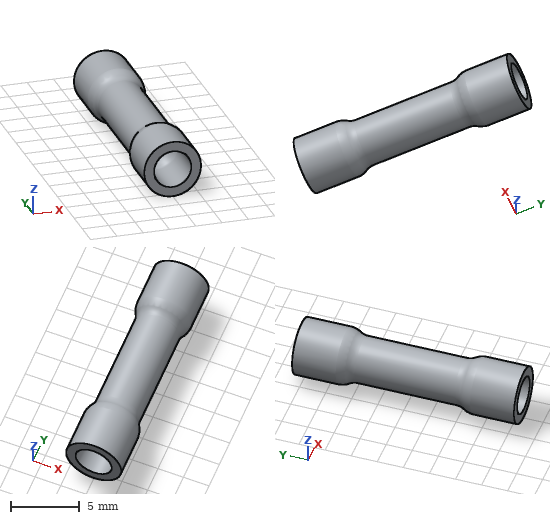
import cadquery as cq
import math

length = 17.02
end_radius = 2.16
waist_radius = 1.77
wall = 0.75

end_length = 3.35
neck_length = 1.35

half_length = length / 2
shoulder_y = half_length - end_length
waist_y = shoulder_y - neck_length
half_neck = neck_length / 2
half_step = (end_radius - waist_radius) / 2
neck_arc_radius = (half_neck**2 + half_step**2) / (2 * half_step)
neck_arc_angle = math.asin(half_neck / neck_arc_radius)


def shoulder_point(inset, angle):
    """Point on the convex neck arc, at an angle from its wide end."""
    arc_radius = neck_arc_radius - inset
    return (
        end_radius - neck_arc_radius + arc_radius * math.cos(angle),
        shoulder_y - arc_radius * math.sin(angle),
    )


def throat_point(inset, angle):
    """Point on the concave neck arc, at an angle from its narrow end."""
    arc_radius = neck_arc_radius + inset
    return (
        waist_radius + neck_arc_radius - arc_radius * math.cos(angle),
        waist_y + arc_radius * math.sin(angle),
    )


def mirrored(point):
    """Same radius at the opposite place along the sleeve."""
    return (point[0], -point[1])


def solid_spool(inset):
    """Solid of revolution about Y whose surface lies a given depth inside the outer one."""
    shoulder = shoulder_point(inset, 0)
    shoulder_middle = shoulder_point(inset, neck_arc_angle / 2)
    neck_middle = shoulder_point(inset, neck_arc_angle)
    throat_middle = throat_point(inset, neck_arc_angle / 2)
    throat = throat_point(inset, 0)
    return (
        cq.Workplane("XY")
        .moveTo(0, half_length)
        .lineTo(end_radius - inset, half_length)
        .lineTo(*shoulder)
        .threePointArc(shoulder_middle, neck_middle)
        .threePointArc(throat_middle, throat)
        .lineTo(*mirrored(throat))
        .threePointArc(mirrored(throat_middle), mirrored(neck_middle))
        .threePointArc(mirrored(shoulder_middle), mirrored(shoulder))
        .lineTo(end_radius - inset, -half_length)
        .lineTo(0, -half_length)
        .close()
        .revolve(360, (0, 0, 0), (0, 1, 0))
    )


body = solid_spool(0)
bore = solid_spool(wall)
result = body.cut(bore)